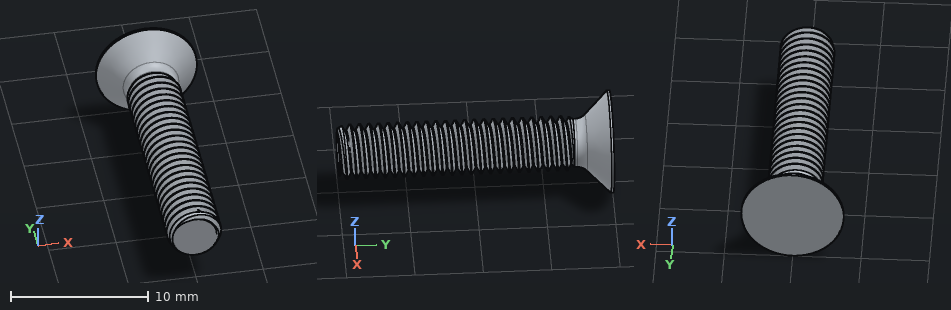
import cadquery as cq
import math


length = 20.0
thread_radius = 4.0 / 2
pitch = 0.7
flank_angle = math.radians(30)
head_radius = 7.5 / 2
head_rim_height = 0.2
cone_angle = math.radians(45)
neck_fillet_radius = 1.0
thread_start_clearance = 0.18
end_chamfer_angle = math.radians(30)
tip_radius = 1.72
crest_clearance = 0.2
root_overlap = 0.05
first_crest_depth = 3.05

crest_width = pitch / 8
sharp_height = pitch / 2 / math.tan(flank_angle)
root_radius = thread_radius - 17 / 24 * sharp_height
neck_radius = thread_radius - 3 / 8 * sharp_height
thread_depth = thread_radius - root_radius

fillet_top_radius = neck_radius + neck_fillet_radius * (1 - math.cos(cone_angle))
cone_end_depth = head_rim_height + (head_radius - fillet_top_radius) / math.tan(cone_angle)
fillet_end_depth = cone_end_depth + neck_fillet_radius * math.sin(cone_angle)
neck_end_depth = fillet_end_depth + thread_start_clearance


def make_core():
    """Head, filleted neck and, below a 45 degree step, the plain rod at the thread root."""
    fillet_mid_angle = cone_angle / 2
    fillet_mid = (
        neck_radius + neck_fillet_radius * (1 - math.cos(fillet_mid_angle)),
        -(fillet_end_depth - neck_fillet_radius * math.sin(fillet_mid_angle)),
    )
    neck_step = neck_radius - root_radius
    return (
        cq.Workplane("XY")
        .moveTo(0, 0)
        .lineTo(head_radius, 0)
        .lineTo(head_radius, -head_rim_height)
        .lineTo(fillet_top_radius, -cone_end_depth)
        .threePointArc(fillet_mid, (neck_radius, -fillet_end_depth))
        .lineTo(neck_radius, -neck_end_depth)
        .lineTo(root_radius, -(neck_end_depth + neck_step))
        .lineTo(root_radius, -length)
        .lineTo(0, -length)
        .close()
        .revolve(360, (0, 0), (0, 1))
    )


def make_thread_envelope():
    """Double-ended cone blank whose ends chamfer the thread; its middle clears the crests."""
    blank_radius = thread_radius + crest_clearance
    start_cone_height = (blank_radius - neck_radius) / math.tan(end_chamfer_angle)
    tip_cone_height = (blank_radius - tip_radius) / math.tan(end_chamfer_angle)
    return (
        cq.Workplane("XY")
        .moveTo(0, -neck_end_depth)
        .lineTo(neck_radius, -neck_end_depth)
        .lineTo(blank_radius, -(neck_end_depth + start_cone_height))
        .lineTo(blank_radius, -(length - tip_cone_height))
        .lineTo(tip_radius, -length)
        .lineTo(0, -length)
        .close()
        .revolve(360, (0, 0), (0, 1))
    )


def make_thread_ridge():
    """Right-handed helical ridge, running past both ends of the thread."""
    base_radius = root_radius - root_overlap
    crest_half = crest_width / 2
    base_half = crest_half + (thread_depth + root_overlap) * math.tan(flank_angle)
    thread_length = length - neck_end_depth
    turns = math.ceil(thread_length / pitch) + 2
    profile = [
        (base_radius, -base_half),
        (thread_radius, -crest_half),
        (thread_radius, crest_half),
        (base_radius, base_half),
    ]
    helices = [
        cq.Wire.makeHelix(pitch, turns * pitch, radius, cq.Vector(0, 0, height))
        for radius, height in profile
    ]
    faces = [
        cq.Face.makeRuledSurface(helices[i - 1], helices[i])
        for i in range(len(helices))
    ]
    for end_height in (0, turns * pitch):
        corners = [cq.Vector(radius, 0, height + end_height) for radius, height in profile]
        faces.append(cq.Face.makeFromWires(cq.Wire.makePolygon(corners, close=True)))
    ridge = cq.Workplane(obj=cq.Solid.makeSolid(cq.Shell.makeShell(faces)))
    turns_below_crest = math.ceil((length - first_crest_depth) / pitch) + 1
    start_depth = first_crest_depth + turns_below_crest * pitch
    return (
        ridge
        .rotate((0, 0, 0), (1, 0, 0), -90)
        .rotate((0, 0, 0), (0, 1, 0), 180)
        .translate((0, -start_depth, 0))
    )


thread = make_thread_ridge().intersect(make_thread_envelope())
result = make_core().union(thread)